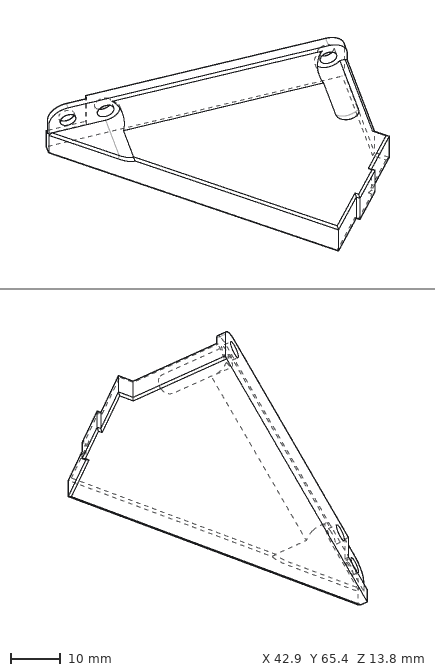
import cadquery as cq
import math

PLATE_THICKNESS = 2.0
PLATE_LENGTH = 62.9
PLATE_HEIGHT = 13.8
CORNER_RADIUS = 4.0

HOLE_Z = PLATE_HEIGHT - CORNER_RADIUS
UPPER_HOLE_Y = PLATE_LENGTH - CORNER_RADIUS
LOWER_HOLE_Y = 11.93
END_HOLE_Y = CORNER_RADIUS
SCREW_HOLE_DIAMETER = 3.5
END_HOLE_DIAMETER = 3.3

RECESS_DEPTH = 0.8
RECESS_LENGTH = 8.3
RECESS_FLOOR_Z = 5.3

WEDGE_HEIGHT = 8.0
LONG_EDGE_ANGLE = 50.0
TIP_X = 42.91
PEAK_Y = 65.37
END_WIDTH = 26.0
RIM_CHAMFER = 0.5

TONGUE_WIDTH = 7.8
TONGUE_HEIGHT = 0.8

STIFFENER_LEG = 4.5

CLEARANCE_RADIUS = 3.0
CLEARANCE_FLOOR_Z = HOLE_Z - CLEARANCE_RADIUS
CHANNEL_END_X = 17.1
CHANNEL_END_FILLET = 2.15

TOLERANCE = 0.01

ANGLE = math.radians(LONG_EDGE_ANGLE)
OUTWARD = (math.cos(ANGLE), math.sin(ANGLE))
ALONG_END = (-math.sin(ANGLE), math.cos(ANGLE))
TIP_Y = PEAK_Y - END_WIDTH * ALONG_END[1]


def end_point(along, outward=0.0):
    """Point at a distance along the outer end from the tip, and outward from it."""
    return (
        TIP_X + along * ALONG_END[0] + outward * OUTWARD[0],
        TIP_Y + along * ALONG_END[1] + outward * OUTWARD[1],
    )


def box(x_range, y_range, z_range):
    """Axis-aligned block between the given limits."""
    corner = (x_range[0], y_range[0], z_range[0])
    size = (x_range[1] - x_range[0], y_range[1] - y_range[0], z_range[1] - z_range[0])
    return cq.Workplane("XY").box(*size, centered=False).translate(corner)


def rod(x_range, y, radius):
    """Cylinder along X at the height of the screw holes."""
    return (
        cq.Workplane("YZ", origin=(x_range[0], y, HOLE_Z))
        .circle(radius)
        .extrude(x_range[1] - x_range[0])
    )


def wedge():
    tongue_start = (END_WIDTH - TONGUE_WIDTH) / 2
    tongue_end = tongue_start + TONGUE_WIDTH
    peak = end_point(END_WIDTH)
    shoulder_drop = (peak[1] - PLATE_LENGTH) / OUTWARD[1]
    long_edge_foot_x = TIP_X - TIP_Y / math.tan(ANGLE)
    outline = [
        (0, 0),
        (long_edge_foot_x, 0),
        end_point(0),
        end_point(tongue_start),
        end_point(tongue_start, TONGUE_HEIGHT),
        end_point(tongue_end, TONGUE_HEIGHT),
        end_point(tongue_end),
        peak,
        end_point(END_WIDTH, -shoulder_drop),
        (0, PLATE_LENGTH),
    ]
    return cq.Workplane("XY").polyline(outline).close().extrude(WEDGE_HEIGHT)


def lower_clearance(start_x):
    """Open pocket from a given X outward: round inner side, flat from the hole axis to the plate end."""
    reach = (start_x, TIP_X)
    flat_part = box(reach, (0, LOWER_HOLE_Y), (CLEARANCE_FLOOR_Z, PLATE_HEIGHT))
    return flat_part.union(rod(reach, LOWER_HOLE_Y, CLEARANCE_RADIUS))


def upper_clearance():
    """Channel with a rounded inner end."""
    channel = rod((PLATE_THICKNESS, CHANNEL_END_X), UPPER_HOLE_Y, CLEARANCE_RADIUS)
    return channel.faces(">X").edges().fillet(CHANNEL_END_FILLET)


def stiffener():
    run = PLATE_THICKNESS + STIFFENER_LEG
    profile = [
        (0, 0),
        (run, 0),
        (run, WEDGE_HEIGHT),
        (PLATE_THICKNESS, WEDGE_HEIGHT + STIFFENER_LEG),
        (0, WEDGE_HEIGHT + STIFFENER_LEG),
    ]
    return (
        cq.Workplane("XZ", origin=(0, LOWER_HOLE_Y, 0))
        .polyline(profile)
        .close()
        .extrude(LOWER_HOLE_Y - UPPER_HOLE_Y)
    )


def plate():
    body = box((0, PLATE_THICKNESS), (0, PLATE_LENGTH), (0, PLATE_HEIGHT))
    return body.edges("|X and >Z").fillet(CORNER_RADIUS)


def end_recess():
    return box((0, RECESS_DEPTH), (0, RECESS_LENGTH), (RECESS_FLOOR_Z, PLATE_HEIGHT))


def screw_holes():
    through = (0, PLATE_THICKNESS)
    holes = rod(through, END_HOLE_Y, END_HOLE_DIAMETER / 2)
    for y in (LOWER_HOLE_Y, UPPER_HOLE_Y):
        holes = holes.union(rod(through, y, SCREW_HOLE_DIAMETER / 2))
    return holes


def chamfer_rim(body, z_low, z_high):
    """Bevel the rim edges lying between two heights, except on the outer face and the lower end."""
    rim = []
    for face in body.faces("#Z").vals():
        center = face.Center()
        if min(center.x, center.y) < TOLERANCE:
            continue
        for edge in face.Edges():
            bounds = edge.BoundingBox()
            if bounds.zmin > z_low - TOLERANCE and bounds.zmax < z_high + TOLERANCE:
                rim.append(edge)
    return body.newObject(rim).chamfer(RIM_CHAMFER)


base = wedge().cut(lower_clearance(0))
base = chamfer_rim(base, CLEARANCE_FLOOR_Z, WEDGE_HEIGHT)

base = base.union(plate())
base = chamfer_rim(base, 0, 0)

clearances = upper_clearance().union(lower_clearance(PLATE_THICKNESS))
result = base.union(stiffener()).cut(clearances).cut(end_recess()).cut(screw_holes())